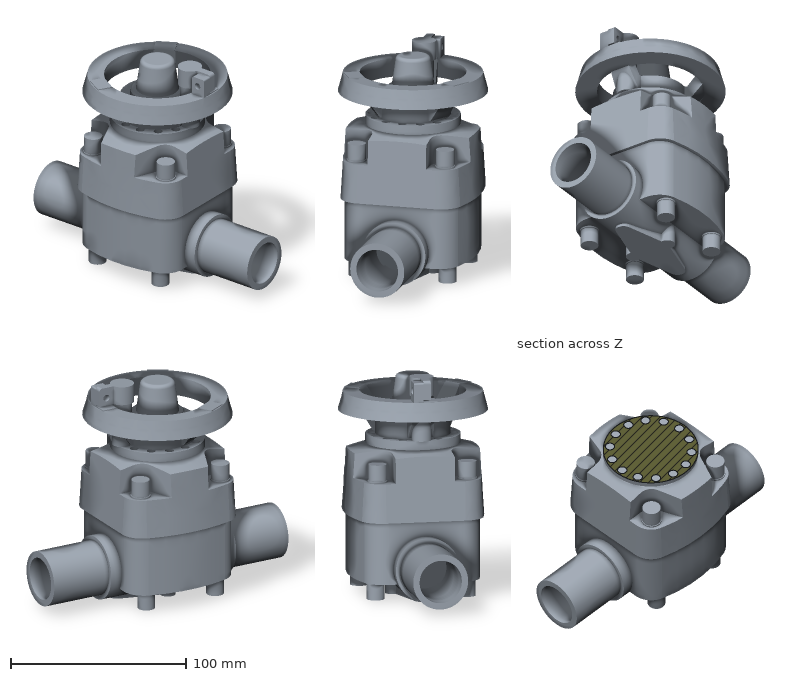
import cadquery as cq
import math


pipe_length = 154.0
pipe_radius = 16.0
bore_radius = 12.3
collar_radius = 18.6
collar_half_length = 41.1

corner_radius = 13.0
body_half_x = 34.2
body_half_y = 37.4
body_bottom_z = -9.0
joint_z = 27.1
bonnet_half_x = 36.3
bonnet_half_y = 39.6
bonnet_draft = 3.4
body_side_flat = 21.3
bonnet_side_flat = 23.1
roof_rim_radius = 49.3
roof_top_radius = 23.1
roof_slope = 0.22

recess_floor_z = 49.7
recess_radius = 9.0
recess_flare = 22.0
bolt_x = 26.2
bolt_y = 26.2
bolt_radius = 5.2
bolt_top_z = 60.0
stud_x = 22.6
stud_y = 26.6
stud_radius = 5.1
stud_bottom_z = -19.0
washer_height = 1.0
washer_overhang = 0.5

foot_bottom_z = -20.2
foot_arm_radius = 4.5
foot_half_x = 31.4
bore_end_x = foot_half_x
foot_half_y = 16.2
foot_web_half_x = 28.0
foot_web_half_y = 12.0

flange_radius = 27.3
flange_bottom_z = 67.3
flange_top_z = 72.5
index_count = 14
index_circle_radius = 23.4
index_hole_radius = 2.54
index_hole_depth = 2.3
hub_radius = 21.5
hub_top_z = 84.1

ring_radius = 15.5
ring_top_z = 88.7
ring_chamfer = 1.0
knob_base_radius = 12.3
knob_top_radius = 9.7
knob_top_z = 107.0
knob_rounding = 2.3

wheel_bottom_z = 86.4
wheel_top_z = 97.3
wheel_inner_radius = 30.5
wheel_base_radius = 43.0
wheel_top_radius = 40.0
spoke_angles = (0, 120, 240)
spoke_root_half_width = 7.4
spoke_rim_half_width = 6.2
spoke_root_z = 73.6
pad_top_z = 98.0
pad_end_radius = 39.3

pin_boss_radius = 5.7
pin_head_radius = 7.0
pin_head_bottom_z = 98.7
pin_head_top_z = 109.6
tab_half_width = 2.2
tab_end_x = 39.5
tab_rounding = 1.8
lug_rounding = 1.0
lug_start_x = 31.0
lug_front_y = -7.7
lug_top_z = 108.5
lock_hole_x = 34.8
lock_hole_z = 103.3
lock_hole_radius = 2.0


def cylinder(radius, z_low, z_high, x=0.0, y=0.0):
    return cq.Workplane("XY", origin=(x, y, z_low)).circle(radius).extrude(z_high - z_low)


def box(x_low, x_high, y_low, y_high, z_low, z_high):
    return cq.Workplane("XY", origin=(x_low, y_low, z_low)).box(
        x_high - x_low, y_high - y_low, z_high - z_low, centered=False
    )


def housing_wire(half_x, half_y, side_flat, z):
    """Flat X sides, bulged Y sides and corner arcs that are tangent to both."""
    corner_x = half_x - corner_radius
    drop = half_y - side_flat
    bulge_radius = (corner_x**2 + drop**2 - corner_radius**2) / (2 * (drop - corner_radius))
    bulge_center_y = half_y - bulge_radius
    normal = math.atan2(side_flat - bulge_center_y, corner_x)

    end_x = corner_x + corner_radius * math.cos(normal)
    end_y = side_flat + corner_radius * math.sin(normal)
    mid_x = corner_x + corner_radius * math.cos(normal / 2)
    mid_y = side_flat + corner_radius * math.sin(normal / 2)
    outline = (
        cq.Workplane("XY", origin=(0, 0, z))
        .moveTo(half_x, -side_flat)
        .lineTo(half_x, side_flat)
        .threePointArc((mid_x, mid_y), (end_x, end_y))
        .threePointArc((0, half_y), (-end_x, end_y))
        .threePointArc((-mid_x, mid_y), (-half_x, side_flat))
        .lineTo(-half_x, -side_flat)
        .threePointArc((-mid_x, -mid_y), (-end_x, -end_y))
        .threePointArc((0, -half_y), (end_x, -end_y))
        .threePointArc((mid_x, -mid_y), (half_x, -side_flat))
        .close()
    )
    return outline.val()


def make_pipes():
    pipe = cq.Workplane("YZ").circle(pipe_radius).extrude(pipe_length / 2, both=True)
    collar = cq.Workplane("YZ").circle(collar_radius).extrude(collar_half_length, both=True)
    run = pipe.union(collar)
    for side in (-1, 1):
        bore = (
            cq.Workplane("YZ", origin=(side * bore_end_x, 0, 0))
            .circle(bore_radius)
            .extrude(side * (pipe_length / 2 - bore_end_x))
        )
        run = run.cut(bore)
    return run


def make_body():
    base = housing_wire(body_half_x, body_half_y, body_side_flat, body_bottom_z)
    return cq.Workplane(base).toPending().extrude(joint_z - body_bottom_z)


def make_foot():
    """Rounded cross with slanted webs between its arms, reaching up to the body."""
    plane = cq.Workplane("XY", origin=(0, 0, foot_bottom_z))
    height = body_bottom_z - foot_bottom_z
    long_arm = plane.slot2D(2 * foot_half_x, 2 * foot_arm_radius).extrude(height)
    short_arm = plane.slot2D(2 * foot_half_y, 2 * foot_arm_radius, 90).extrude(height)
    web = plane.polyline(
        [
            (0, foot_web_half_y),
            (foot_web_half_x, foot_arm_radius),
            (foot_web_half_x, -foot_arm_radius),
            (0, -foot_web_half_y),
            (-foot_web_half_x, -foot_arm_radius),
            (-foot_web_half_x, foot_arm_radius),
        ]
    ).close().extrude(height)
    return long_arm.union(short_arm).union(web)


def make_recess():
    """Pocket around the bolt in the +X +Y corner of the bonnet."""
    reach = 2 * recess_radius + bolt_x
    flare = math.radians(recess_flare)
    tangent_x = bolt_x - recess_radius * math.cos(flare)
    tangent_y = bolt_y - recess_radius * math.sin(flare)
    flare_x = tangent_x - (reach - tangent_y) * math.tan(flare)
    arc_angle = (flare + math.pi / 2) / 2
    arc_x = bolt_x - recess_radius * math.cos(arc_angle)
    arc_y = bolt_y - recess_radius * math.sin(arc_angle)
    return (
        cq.Workplane("XY", origin=(0, 0, recess_floor_z))
        .moveTo(flare_x, reach)
        .lineTo(tangent_x, tangent_y)
        .threePointArc((arc_x, arc_y), (bolt_x, bolt_y - recess_radius))
        .lineTo(reach, bolt_y - recess_radius)
        .lineTo(reach, reach)
        .close()
        .extrude(flange_bottom_z - recess_floor_z)
    )


def four_corners(shape):
    """Copy of the shape mirrored into all four corners."""
    pair = shape.union(shape.mirror("YZ"))
    return pair.union(pair.mirror("XZ"))


def make_bonnet():
    base = housing_wire(bonnet_half_x, bonnet_half_y, bonnet_side_flat, joint_z)
    shell = cq.Workplane(base).toPending().extrude(flange_bottom_z - joint_z, taper=bonnet_draft)
    roof_drop = (roof_rim_radius - roof_top_radius) * roof_slope
    roof = (
        cq.Workplane("XZ")
        .polyline(
            [
                (0, joint_z),
                (roof_rim_radius, joint_z),
                (roof_rim_radius, flange_bottom_z - roof_drop),
                (roof_top_radius, flange_bottom_z),
                (0, flange_bottom_z),
            ]
        )
        .close()
        .revolve(360, (0, 0, 0), (0, 1, 0))
    )
    return shell.intersect(roof).cut(four_corners(make_recess()))


def make_bolts():
    bolt = cylinder(bolt_radius, recess_floor_z, bolt_top_z, bolt_x, bolt_y)
    bolt_washer = cylinder(
        bolt_radius + washer_overhang, recess_floor_z, recess_floor_z + washer_height, bolt_x, bolt_y
    )
    stud = cylinder(stud_radius, stud_bottom_z, body_bottom_z, stud_x, stud_y)
    stud_washer = cylinder(
        stud_radius + washer_overhang, body_bottom_z - washer_height, body_bottom_z, stud_x, stud_y
    )
    return four_corners(bolt.union(bolt_washer)).union(four_corners(stud.union(stud_washer)))


def make_flange_and_hub():
    flange = cylinder(flange_radius, flange_bottom_z, flange_top_z)
    index_holes = (
        cq.Workplane("XY", origin=(0, 0, flange_top_z))
        .polarArray(index_circle_radius, 0, 360, index_count)
        .circle(index_hole_radius)
        .extrude(-index_hole_depth)
    )
    hub = cylinder(hub_radius, flange_top_z, hub_top_z)
    return flange.cut(index_holes).union(hub)


def make_knob():
    ring = cylinder(ring_radius, hub_top_z, ring_top_z).faces(">Z").chamfer(ring_chamfer)
    knob = (
        cq.Workplane("XZ")
        .polyline(
            [
                (0, ring_top_z),
                (knob_base_radius, ring_top_z),
                (knob_top_radius, knob_top_z),
                (0, knob_top_z),
            ]
        )
        .close()
        .revolve(360, (0, 0, 0), (0, 1, 0))
        .faces(">Z")
        .edges()
        .fillet(knob_rounding)
    )
    return ring.union(knob)


def make_spoke():
    """Inclined arm along +X from the hub to the rim, ending in a pad on the rim."""
    inner_x = hub_radius / 2
    root_x = hub_radius
    rim_x = wheel_inner_radius
    anchor_x = (rim_x + wheel_top_radius) / 2
    side_taper = (spoke_root_half_width - spoke_rim_half_width) / (rim_x - root_x)
    inner_half_width = spoke_root_half_width + side_taper * (root_x - inner_x)
    side_profile = (
        cq.Workplane("XZ")
        .polyline(
            [
                (inner_x, spoke_root_z),
                (root_x, spoke_root_z),
                (rim_x, wheel_bottom_z),
                (anchor_x, wheel_bottom_z),
                (pad_end_radius, wheel_top_z),
                (pad_end_radius, pad_top_z),
                (rim_x, pad_top_z),
                (root_x, hub_top_z),
                (inner_x, hub_top_z),
            ]
        )
        .close()
        .extrude(inner_half_width, both=True)
    )
    plan = (
        cq.Workplane("XY", origin=(0, 0, spoke_root_z))
        .polyline(
            [
                (inner_x, -inner_half_width),
                (rim_x, -spoke_rim_half_width),
                (pad_end_radius, -spoke_rim_half_width),
                (pad_end_radius, spoke_rim_half_width),
                (rim_x, spoke_rim_half_width),
                (inner_x, inner_half_width),
            ]
        )
        .close()
        .extrude(pad_top_z - spoke_root_z)
    )
    return side_profile.intersect(plan)


def make_handwheel():
    wheel = (
        cq.Workplane("XZ")
        .polyline(
            [
                (wheel_inner_radius, wheel_bottom_z),
                (wheel_base_radius, wheel_bottom_z),
                (wheel_top_radius, wheel_top_z),
                (wheel_inner_radius, wheel_top_z),
            ]
        )
        .close()
        .revolve(360, (0, 0, 0), (0, 1, 0))
    )
    spoke = make_spoke()
    for angle in spoke_angles:
        wheel = wheel.union(spoke.rotate((0, 0, 0), (0, 0, 1), angle))
    return wheel


def make_locking_pin():
    boss = cylinder(pin_boss_radius, flange_top_z, pin_head_bottom_z, index_circle_radius)
    head = cylinder(pin_head_radius, pin_head_bottom_z, pin_head_top_z, index_circle_radius)
    tab = box(
        index_circle_radius, tab_end_x, -tab_half_width, tab_half_width, pin_head_bottom_z, pin_head_top_z
    )
    tab = tab.edges(">X and >Z").fillet(tab_rounding)
    lug = box(lug_start_x, tab_end_x, lug_front_y, -tab_half_width, wheel_top_z, lug_top_z)
    lug = lug.edges("|Y and >Z").fillet(lug_rounding)
    lock_hole = (
        cq.Workplane("XZ", origin=(lock_hole_x, 0, lock_hole_z))
        .circle(lock_hole_radius)
        .extrude(-lug_front_y + tab_half_width, both=True)
    )
    return boss.union(head).union(tab).union(lug).cut(lock_hole)


result = (
    make_pipes()
    .union(make_body())
    .union(make_foot())
    .union(make_bonnet())
    .union(make_bolts())
    .union(make_flange_and_hub())
    .union(make_knob())
    .union(make_handwheel())
    .union(make_locking_pin())
)